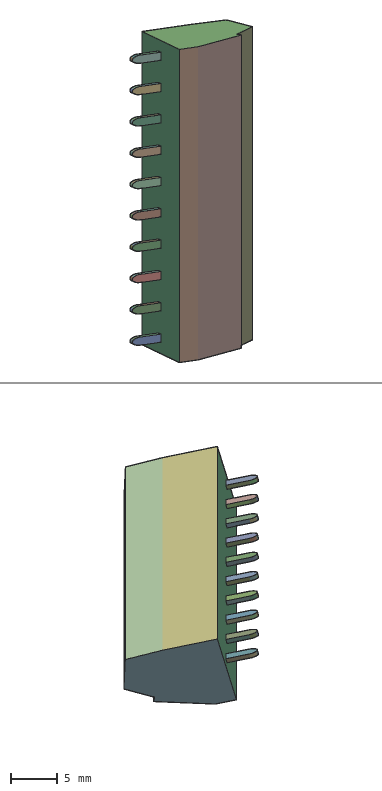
import cadquery as cq
import math

POLE_COUNT = 10
POLE_PITCH = 3.5
BODY_HEIGHT = POLE_COUNT * POLE_PITCH
BODY_WIDTH = 8.4
BODY_DEPTH = 11.4

LEFT_SLANT_START_Y = 6.1
ENTRY_CORNER = (0.228, 10.3)
RIDGE = (4.02, BODY_DEPTH)
STEP_INNER = (5.9, 8.47)
STEP_OUTER = (6.45, 8.7)
RIGHT_SLANT_START_Y = 2.35

ENTRY_DIAMETER = 2.98
ENTRY_DEPTH = 4.2

PIN_LENGTH = 3.5
PIN_THICKNESS = 0.55
PIN_WIDTH = 0.9
PIN_X = 4.0
TIP_LENGTH = 0.88
NOSE_RADIUS = 0.28
PIN_EMBED = 0.35

pole_heights = [(i + 0.5) * POLE_PITCH for i in range(POLE_COUNT)]


def make_housing():
    """Constant profile extruded along the row of poles."""
    profile = [
        (0, 0),
        (BODY_WIDTH, 0),
        (BODY_WIDTH, RIGHT_SLANT_START_Y),
        STEP_OUTER,
        STEP_INNER,
        RIDGE,
        ENTRY_CORNER,
        (0, LEFT_SLANT_START_Y),
    ]
    return cq.Workplane("XY").polyline(profile).close().extrude(BODY_HEIGHT)


def make_wire_entry(z):
    """Blind round hole cutter, square to the sloped entry face."""
    run = RIDGE[0] - ENTRY_CORNER[0]
    rise = RIDGE[1] - ENTRY_CORNER[1]
    center = cq.Vector((RIDGE[0] + ENTRY_CORNER[0]) / 2, (RIDGE[1] + ENTRY_CORNER[1]) / 2, z)
    inward = cq.Vector(rise, -run, 0)
    return cq.Solid.makeCylinder(ENTRY_DIAMETER / 2, ENTRY_DEPTH, center, inward)


def make_pin(z):
    """Flat pin whose sides curve in along tangent arcs to a round nose."""
    half_width = PIN_WIDTH / 2
    shoulder_y = TIP_LENGTH - PIN_LENGTH
    nose_offset = TIP_LENGTH - NOSE_RADIUS

    side_radius = (nose_offset**2 + half_width**2 - NOSE_RADIUS**2) / (2 * (half_width - NOSE_RADIUS))
    sweep = math.asin(nose_offset / (side_radius - NOSE_RADIUS))
    joint_y = shoulder_y - side_radius * math.sin(sweep)
    joint_z = NOSE_RADIUS * math.cos(sweep)

    return (
        cq.Workplane("YZ", origin=(PIN_X - PIN_THICKNESS / 2, 0, z))
        .moveTo(PIN_EMBED, half_width)
        .lineTo(shoulder_y, half_width)
        .radiusArc((joint_y, joint_z), -side_radius)
        .threePointArc((-PIN_LENGTH, 0), (joint_y, -joint_z))
        .radiusArc((shoulder_y, -half_width), -side_radius)
        .lineTo(PIN_EMBED, -half_width)
        .close()
        .extrude(PIN_THICKNESS)
    )


result = make_housing()
for z in pole_heights:
    result = result.cut(cq.Workplane(make_wire_entry(z))).union(make_pin(z))